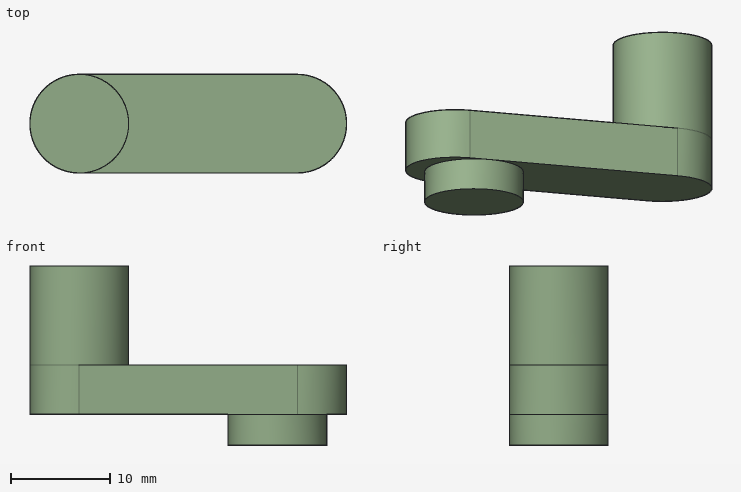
import cadquery as cq

arm_length = 32.0
arm_width = 10.0
arm_thickness = 5.0
post_height = 10.0
boss_height = 3.15
pin_spacing = 20.0

pin_diameter = arm_width

post_x = (arm_width - arm_length) / 2
boss_x = post_x + pin_spacing


def make_pin(center_x, base_z, height):
    """Upright cylinder on the arm's centre line."""
    return (
        cq.Workplane("XY", origin=(center_x, 0, base_z))
        .circle(pin_diameter / 2)
        .extrude(height)
    )


arm = cq.Workplane("XY").slot2D(arm_length, arm_width).extrude(arm_thickness)

post = make_pin(post_x, arm_thickness, post_height)
boss = make_pin(boss_x, -boss_height, boss_height)

result = arm.union(post).union(boss)